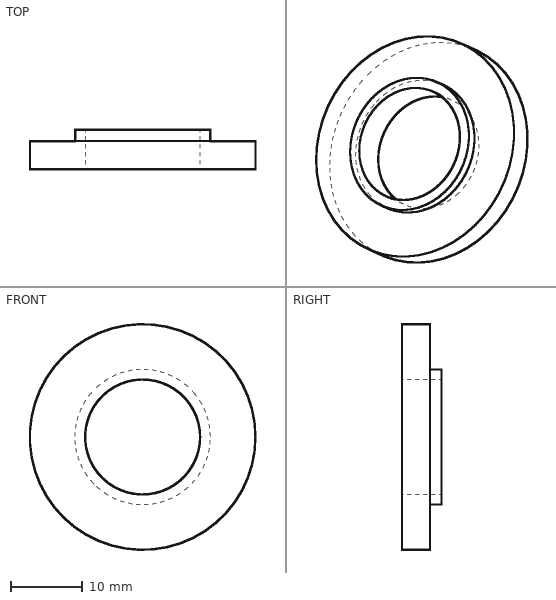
import cadquery as cq

flange_diameter = 31.75
boss_diameter = 19.05
bore_diameter = 16.13
overall_length = 5.59
flange_thickness = 3.97
boss_height = overall_length - flange_thickness


def make_disc(diameter, start_y, length):
    """Solid disc about the Y axis, extending from start_y toward +Y."""
    plane = cq.Workplane("XZ", origin=(0, start_y, 0))
    return plane.circle(diameter / 2).extrude(-length)


flange = make_disc(flange_diameter, 0, flange_thickness)
boss = make_disc(boss_diameter, flange_thickness, boss_height)
through_bore = make_disc(bore_diameter, 0, overall_length)

result = flange.union(boss).cut(through_bore)